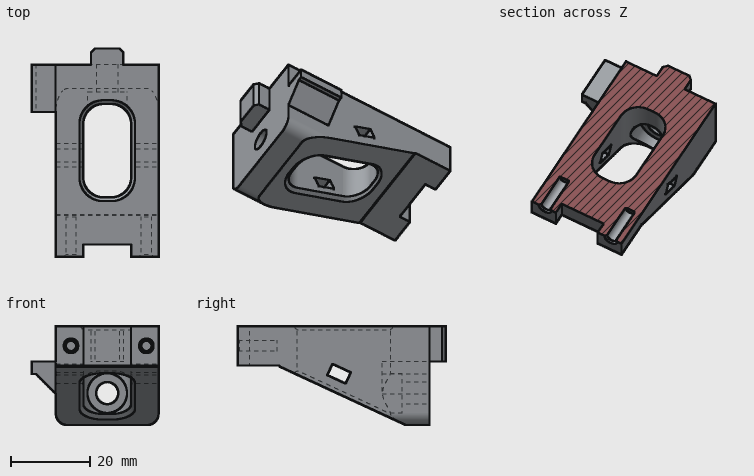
import cadquery as cq
import math

body_width = 26.0
body_length = 48.4
body_height = 25.0
half_width = body_width / 2
foot_height = 10.0
facet_run = 0.25
facet_drop = 0.3
slope_start = 10.45
heel_length = 6.0
bottom_radius = 3.0

notch_width = 12.0
notch_depth = 3.05

overall_length = 52.5
tongue_width = 8.2
tongue_height = 9.0
tongue_chamfer = 1.0

lug_reach = 32.0 - body_width
lug_length = 11.95
lug_top = -8.9
lug_lip_height = 3.2
lug_lip_width = 1.1

slot_width = 12.0
slot_length = 23.45
slot_front = 15.0
slot_rear = slot_front + slot_length
slot_radius = 5.0
slot_chamfer = 1.0

bore_diameter = 5.5
counterbore_diameter = 10.0
counterbore_depth = 3.0
bore_z = -16.9

foot_hole_diameter = 2.6
foot_hole_depth = 10.0
foot_hole_countersink = 0.5
foot_hole_spacing = 19.0
foot_hole_middle = 0.35

window_length = 5.05
window_height = 3.05
window_y = 25.55
window_z = -12.0

slope_run = body_length - heel_length - slope_start - facet_run
slope_drop = body_height - foot_height - facet_drop
slope_angle = math.degrees(math.atan2(slope_drop, slope_run))


def box_between(x_range, y_range, z_range):
    """Box given by its limits along each axis."""
    sizes = [high - low for low, high in (x_range, y_range, z_range)]
    corner = (x_range[0], y_range[0], z_range[0])
    return cq.Workplane("XY").box(*sizes, centered=False).translate(corner)


def make_body():
    """Wedge with rounded lower edges along its length."""
    profile = [
        (0, 0),
        (body_length, 0),
        (body_length, -body_height),
        (body_length - heel_length, -body_height),
        (slope_start + facet_run, -foot_height - facet_drop),
        (slope_start, -foot_height),
        (0, -foot_height),
    ]
    wedge = cq.Workplane("YZ").polyline(profile).close().extrude(half_width, both=True)
    rounded_bar = (
        box_between((-half_width, half_width), (0, body_length), (-body_height, 0))
        .edges("|Y and <Z")
        .fillet(bottom_radius)
    )
    return wedge.intersect(rounded_bar)


def cut_slot(body):
    """Rounded slot from top to underside, chamfered at both mouths."""
    slot = (
        box_between(
            (-slot_width / 2, slot_width / 2),
            (slot_front, slot_rear),
            (-body_height, 0),
        )
        .edges("|Z")
        .fillet(slot_radius)
    )
    body = body.cut(slot)
    slope_normal = cq.Vector(0, -slope_drop, -slope_run)
    for direction in (cq.Vector(0, 0, 1), slope_normal):
        face = body.faces(cq.DirectionSelector(direction))
        mouth = face.val().innerWires()[0]
        body = body.newObject(mouth.Edges()).chamfer(slot_chamfer)
    return body


def make_tongue():
    """Key at the rear with chamfered end corners."""
    return (
        box_between(
            (-tongue_width / 2, tongue_width / 2),
            (body_length, overall_length),
            (-tongue_height, 0),
        )
        .edges("|Z and >Y")
        .chamfer(tongue_chamfer)
    )


def make_lug():
    """Side lug with a 45 degree underside."""
    lip_bottom = lug_top - lug_lip_height
    wall_x = -half_width
    tip_x = wall_x - lug_reach
    profile = [
        (wall_x, lug_top),
        (tip_x, lug_top),
        (tip_x, lip_bottom),
        (tip_x + lug_lip_width, lip_bottom),
        (wall_x, lip_bottom - (lug_reach - lug_lip_width)),
    ]
    return (
        cq.Workplane("XZ", origin=(0, body_length, 0))
        .polyline(profile)
        .close()
        .extrude(lug_length)
    )


def make_notch():
    """Gap between the feet."""
    return box_between(
        (-notch_width / 2, notch_width / 2), (0, notch_depth), (-foot_height, 0)
    )


def rod_along_y(diameter, x, y, z, length):
    """Cylinder running rearwards from the given point."""
    return (
        cq.Workplane("XZ", origin=(x, y, z)).circle(diameter / 2).extrude(-length)
    )


def make_bore():
    """Rear wall bore with a counterbore entered from the slot."""
    start = slot_rear - slot_radius
    bore = rod_along_y(bore_diameter, 0, start, bore_z, body_length - start)
    counterbore = rod_along_y(
        counterbore_diameter, 0, start, bore_z, slot_radius + counterbore_depth
    )
    return bore.union(counterbore)


def make_foot_hole(x):
    """Blind hole with a 45 degree countersink."""
    z = -foot_height / 2
    hole = rod_along_y(foot_hole_diameter, x, 0, z, foot_hole_depth)
    mouth_radius = foot_hole_diameter / 2 + foot_hole_countersink
    countersink = cq.Solid.makeCone(
        mouth_radius,
        foot_hole_diameter / 2,
        foot_hole_countersink,
        pnt=cq.Vector(x, 0, z),
        dir=cq.Vector(0, 1, 0),
    )
    return hole.union(cq.Workplane(countersink))


def make_window():
    """Rectangular passage across the width, parallel to the sloped underside."""
    return (
        cq.Workplane("YZ", origin=(0, window_y, window_z))
        .transformed(rotate=(0, 0, -slope_angle))
        .rect(window_length, window_height)
        .extrude(half_width, both=True)
    )


result = cut_slot(make_body()).union(make_tongue()).union(make_lug())
result = result.cut(make_notch()).cut(make_bore()).cut(make_window())
for side in (-1, 1):
    result = result.cut(make_foot_hole(foot_hole_middle + side * foot_hole_spacing / 2))